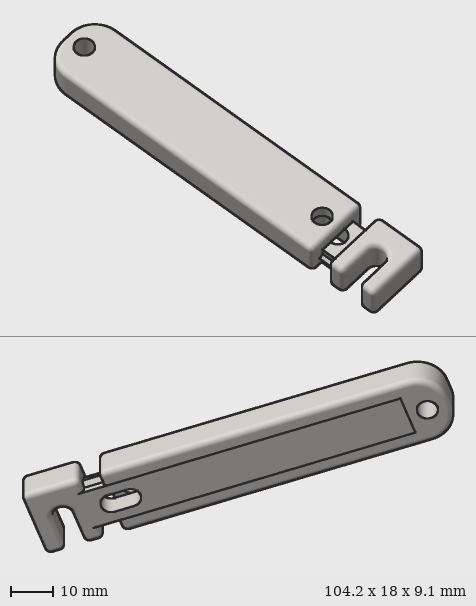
import cadquery as cq

total_length = 104.2
width = 18.0
height = 9.1
edge_radius = 1.5
hole_diameter = 5.0

housing_length = 84.9
end_corner_radius = 7.5
ring_hole_x = 5.5
stop_hole_x = 80.0

head_length = 14.4
head_start = total_length - head_length
head_slot_x = total_length - head_length / 2
head_slot_width = 5.0

rail_start = 10.4
rail_top_width = 10.9
rail_widest = 12.9
rail_bottom_width = 10.4
rail_top_z = 5.7
upper_slope_z = 4.1
widest_z = 3.1
lower_slope_z = 1.9

travel = head_start - housing_length


def rail(end_x):
    """Rail profile extruded along X from the closed groove end to end_x."""
    right_side = [
        (rail_bottom_width / 2, 0),
        (rail_bottom_width / 2, lower_slope_z),
        (rail_widest / 2, widest_z),
        (rail_top_width / 2, upper_slope_z),
        (rail_top_width / 2, rail_top_z),
    ]
    left_side = [(-y, z) for y, z in reversed(right_side)]
    profile = cq.Workplane("YZ", origin=(rail_start, 0, 0)).polyline(right_side + left_side).close()
    return profile.extrude(end_x - rail_start)


def make_housing():
    """Rounded bar with a dovetail groove below and two through holes."""
    body = cq.Workplane("XY").box(housing_length, width, height, centered=(False, True, False))
    body = body.edges("|Z and <X").fillet(end_corner_radius)
    body = body.edges("|Z and >X").fillet(edge_radius)
    body = body.faces("<Z or >Z").edges().fillet(edge_radius)
    holes = (
        cq.Workplane("XY")
        .pushPoints([(ring_hole_x, 0), (stop_hole_x, 0)])
        .circle(hole_diameter / 2)
        .extrude(height)
    )
    return body.cut(holes).cut(rail(housing_length))


def make_head():
    """Rounded block with a round-ended slot open to -Y."""
    block = (
        cq.Workplane("XY", origin=(head_start, 0, 0))
        .box(head_length, width, height, centered=(False, True, False))
    )
    slot_end = cq.Workplane("XY").center(head_slot_x, 0).circle(head_slot_width / 2).extrude(height)
    slot_mouth = (
        cq.Workplane("XY")
        .center(head_slot_x, -width / 4)
        .rect(head_slot_width, width / 2)
        .extrude(height)
    )
    block = block.cut(slot_end.union(slot_mouth))
    block = block.edges("|Z and (<Y or >Y)").fillet(edge_radius)
    return block.faces("<Z or >Z").edges().fillet(edge_radius)


def make_slider():
    """Head and rail in one piece, with the stop slot through the rail."""
    stop_slot = (
        cq.Workplane("XY")
        .center(stop_hole_x + travel / 2, 0)
        .slot2D(travel + hole_diameter, hole_diameter)
        .extrude(rail_top_z)
    )
    rail_end = head_start + edge_radius
    return make_head().union(rail(rail_end)).cut(stop_slot)


housing = make_housing()
slider = make_slider()

result = cq.Compound.makeCompound([housing.val(), slider.val()])